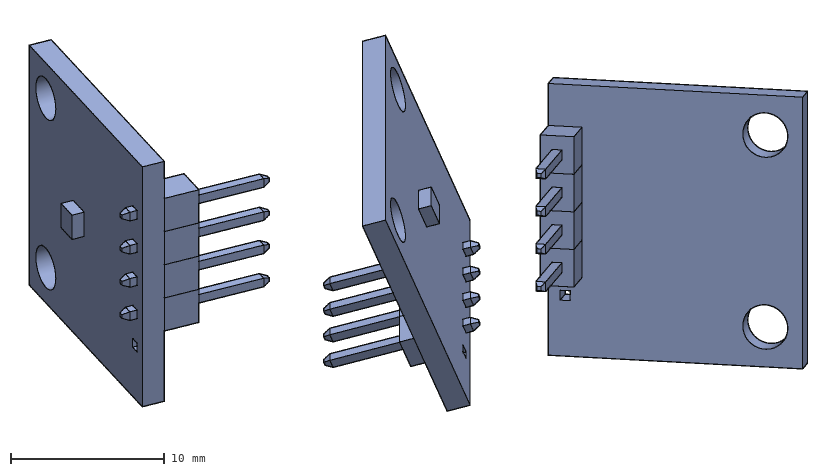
import cadquery as cq


board_width = 17.0
board_height = 18.35
board_thickness = 1.6

mount_diameter = 3.0
mount_x = 2.5
mount_spacing = 12.95

chip_width = 1.65
chip_height = 1.85
chip_thickness = 0.88
chip_x = 7.43

hole_count = 5
hole_side = 0.66

header_count = 4
header_row_height = 10.15
pitch = header_row_height / header_count
block_width = 2.25
block_depth = 2.51
row_x = board_width - block_width / 2

pin_side = hole_side
tip_side = 0.28
tip_length = 0.5
pin_front_reach = 1.01
pin_back_reach = 5.58
pin_front_y = -pin_front_reach
pin_back_y = board_thickness + block_depth + pin_back_reach

mid_height = board_height / 2
row_heights = [mid_height + (i - (hole_count - 1) / 2) * pitch for i in range(hole_count)]
header_heights = row_heights[hole_count - header_count:]


def plane_facing_back(x, y, z):
    """Plane at the given point whose normal points along +Y."""
    return cq.Plane(origin=(x, y, z), xDir=(1, 0, 0), normal=(0, 1, 0))


def square_bar(side, x, z, y_start, y_end):
    """Square bar along Y, centred on the given X and Z."""
    return cq.Workplane(plane_facing_back(x, y_start, z)).rect(side, side).extrude(y_end - y_start)


def pin_tip(z, base_y, end_y):
    """Pyramid frustum narrowing from the pin's section to its end face."""
    return (
        cq.Workplane(plane_facing_back(row_x, base_y, z))
        .rect(pin_side, pin_side)
        .workplane(offset=end_y - base_y)
        .rect(tip_side, tip_side)
        .loft(combine=True)
    )


def make_board():
    """Board with its chip, mounting holes and row of square pin holes."""
    board = cq.Workplane("XY").box(board_width, board_thickness, board_height, centered=False)
    chip = (
        cq.Workplane("XY")
        .box(chip_width, chip_thickness, chip_height)
        .translate((chip_x, -chip_thickness / 2, mid_height))
    )
    board = board.union(chip)

    for z in (mid_height - mount_spacing / 2, mid_height + mount_spacing / 2):
        mount_hole = (
            cq.Workplane(plane_facing_back(mount_x, 0, z))
            .circle(mount_diameter / 2)
            .extrude(board_thickness)
        )
        board = board.cut(mount_hole)

    for z in row_heights:
        board = board.cut(square_bar(hole_side, row_x, z, 0, board_thickness))
    return board


def make_header(z):
    """Header unit: a block behind the board, flush with its right edge, and the pin through it."""
    block = (
        cq.Workplane("XY")
        .box(block_width, block_depth, pitch)
        .translate((row_x, board_thickness + block_depth / 2, z))
    )
    shank_front_y = pin_front_y + tip_length
    shank_back_y = pin_back_y - tip_length
    shank = square_bar(pin_side, row_x, z, shank_front_y, shank_back_y)
    front_tip = pin_tip(z, shank_front_y, pin_front_y)
    back_tip = pin_tip(z, shank_back_y, pin_back_y)
    return block.union(shank).union(front_tip).union(back_tip)


board = make_board()
headers = [make_header(z) for z in header_heights]

result = cq.Compound.makeCompound([board.val(), *[header.val() for header in headers]])